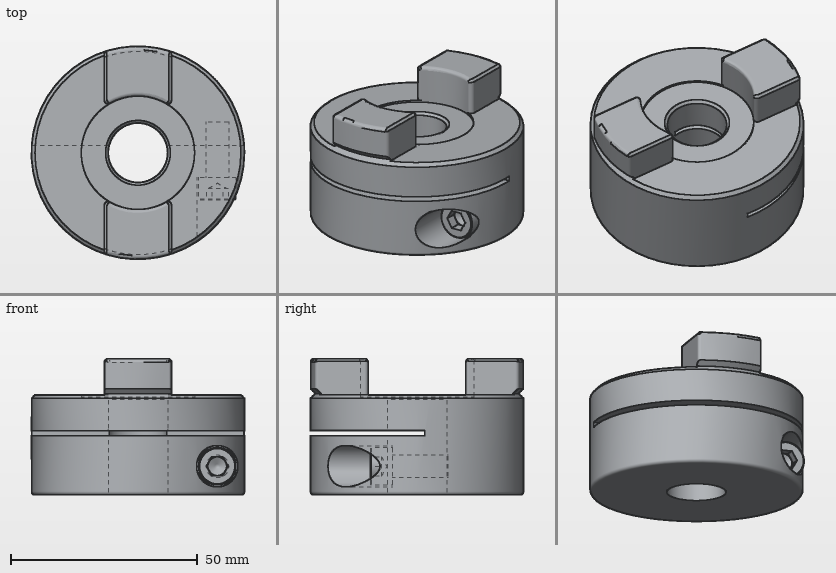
import cadquery as cq
import math

hub_radius = 28.5
hub_height = 26.8
hub_top_chamfer = 0.95
hub_base_round = 0.9
bore_radius = 7.9
bore_chamfer = 0.75
recess_radius = 15.15
recess_depth = 0.5

total_height = 36.5
jaw_width = 17.95
jaw_end_round = 0.95
jaw_side_chamfer = 0.7
relief_depth = 1.3

slot_bottom = 15.9
slot_height = 1.3
slot_end_y = 2.05

screw_x = 21.2
screw_z = 7.7
head_radius = 5.0
head_length = 6.0
head_chamfer = 0.3
head_face_y = -12.55
shank_radius = 3.0
shank_length = 14.8
counterbore_radius = 5.55
hex_across_flats = 5.0
hex_depth = 3.0
head_seat_y = head_face_y + head_length


def cylinder_along_y(radius, start_y, length):
    """Cylinder on the screw axis, running towards +Y from start_y."""
    start = cq.Vector(screw_x, start_y, screw_z)
    return cq.Workplane(cq.Solid.makeCylinder(radius, length, start, cq.Vector(0, 1, 0)))


def make_jaw(side):
    """One jaw; side is -1 for the -Y jaw and +1 for the +Y jaw."""
    foot_z = hub_height - recess_depth
    half_width = jaw_width / 2
    inner_corner_y = side * math.sqrt(recess_radius**2 - half_width**2)
    outer_corner_y = side * math.sqrt(hub_radius**2 - half_width**2)
    jaw = (
        cq.Workplane("XY", origin=(0, 0, foot_z))
        .moveTo(-half_width, inner_corner_y)
        .threePointArc((0, side * recess_radius), (half_width, inner_corner_y))
        .lineTo(half_width, outer_corner_y)
        .threePointArc((0, side * hub_radius), (-half_width, outer_corner_y))
        .close()
        .extrude(total_height - foot_z)
    )
    jaw = jaw.faces(">Z").edges("|Y").chamfer(jaw_side_chamfer)
    return jaw.faces("%CYLINDER").edges("not(<Z)").fillet(jaw_end_round)


def make_rim_relief():
    """Ring that chamfers the hub's top rim and undercuts the outer foot of the jaws."""
    rim_z = hub_height - hub_top_chamfer
    profile = [
        (hub_radius, rim_z),
        (hub_radius - relief_depth, rim_z + relief_depth),
        (hub_radius, rim_z + 2 * relief_depth),
    ]
    return cq.Workplane("XZ").polyline(profile).close().revolve(360, (0, 0, 0), (0, 1, 0))


def make_bore():
    """Through bore with a chamfer at the recess floor."""
    floor_z = hub_height - recess_depth
    profile = [
        (0, 0),
        (bore_radius, 0),
        (bore_radius, floor_z - bore_chamfer),
        (bore_radius + bore_chamfer, floor_z),
        (0, floor_z),
    ]
    return cq.Workplane("XZ").polyline(profile).close().revolve(360, (0, 0, 0), (0, 1, 0))


def make_clamping_slot():
    slot_length = hub_radius + slot_end_y
    return (
        cq.Workplane("XY", origin=(0, slot_end_y - slot_length / 2, slot_bottom))
        .rect(2 * hub_radius, slot_length)
        .extrude(slot_height)
    )


def make_hub():
    hub = cq.Workplane("XY").circle(hub_radius).extrude(hub_height)
    hub = hub.faces("<Z").edges().fillet(hub_base_round)
    recess = (
        cq.Workplane("XY", origin=(0, 0, hub_height - recess_depth))
        .circle(recess_radius)
        .extrude(recess_depth)
    )
    hub = hub.cut(recess)
    for side in (-1, 1):
        hub = hub.union(make_jaw(side))
    hub = hub.cut(make_rim_relief())
    hub = hub.cut(make_bore())
    hub = hub.cut(make_clamping_slot())

    hub = hub.cut(cylinder_along_y(counterbore_radius, -hub_radius, hub_radius + head_seat_y))
    return hub.cut(cylinder_along_y(shank_radius, head_seat_y, shank_length))


def make_screw():
    """Socket head screw; the hexagon socket ends in a drill point."""
    head = cylinder_along_y(head_radius, head_face_y, head_length)
    head = head.faces("<Y").edges().chamfer(head_chamfer)
    screw = head.union(cylinder_along_y(shank_radius, head_seat_y, shank_length))

    hex_across_corners = hex_across_flats / math.cos(math.pi / 6)
    socket = (
        cq.Workplane("XZ", origin=(screw_x, head_face_y, screw_z))
        .polygon(6, hex_across_corners)
        .extrude(-hex_depth)
    )
    point_radius = hex_across_flats / 2
    point_length = point_radius * math.tan(math.pi / 6)
    point_base = cq.Vector(screw_x, head_face_y + hex_depth, screw_z)
    point = cq.Solid.makeCone(point_radius, 0, point_length, point_base, cq.Vector(0, 1, 0))
    return screw.cut(socket).cut(cq.Workplane(point))


hub = make_hub()
screw = make_screw()
result = cq.Compound.makeCompound([hub.val(), screw.val()])